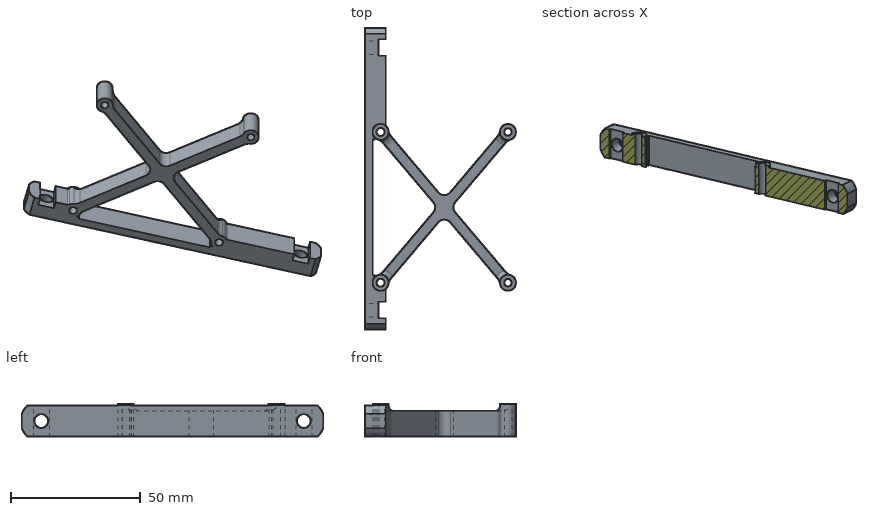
import cadquery as cq
import math

BAR_LENGTH = 116.0
BAR_DEPTH = 8.0
BAR_HEIGHT = 12.0
BAR_HOLE_DIAMETER = 5.2
BAR_HOLE_SPACING = 101.0
BAR_END_RADIUS = 8.0
NOTCH_DEPTH = 2.8
NOTCH_WIDTH = 6.2
RELIEF_WALL = 3.0
RELIEF_END_GAP = 2.95
RELIEF_STEP = 0.7
BAR_BOSS_FILLET = 1.0

BOSS_DIAMETER = 6.2
BOSS_HEIGHT = 12.6
NEAR_HOLE_DIAMETER = 3.0
FAR_HOLE_DIAMETER = 2.75
BOSS_PITCH_X = 49.0
BOSS_PITCH_Y = 58.0
NEAR_BOSS_X = 6.0
PATTERN_CENTER_Y = -11.0

ARM_WIDTH = 4.0
ARM_HEIGHT = 10.0
CROSS_FILLET = 3.0
BOSS_SIDE_FILLET = 4.0
BOSS_TOP_FILLET = 2.0

CROSS_X = NEAR_BOSS_X + BOSS_PITCH_X / 2
ARM_LENGTH = math.hypot(BOSS_PITCH_X, BOSS_PITCH_Y)
ARM_ANGLE = math.degrees(math.atan2(BOSS_PITCH_Y, BOSS_PITCH_X))
BOSS_RADIUS = BOSS_DIAMETER / 2
LOWER_BOSS_Y = PATTERN_CENTER_Y - BOSS_PITCH_Y / 2
UPPER_BOSS_Y = PATTERN_CENTER_Y + BOSS_PITCH_Y / 2
FAR_BOSS_X = NEAR_BOSS_X + BOSS_PITCH_X
NEAR_BOSSES = [(NEAR_BOSS_X, LOWER_BOSS_Y), (NEAR_BOSS_X, UPPER_BOSS_Y)]
FAR_BOSSES = [(FAR_BOSS_X, LOWER_BOSS_Y), (FAR_BOSS_X, UPPER_BOSS_Y)]
BOSSES = NEAR_BOSSES + FAR_BOSSES


def block(x_range, y_range, height):
    """Box standing on Z = 0 between the given X and Y limits."""
    x_start, x_end = x_range
    y_start, y_end = y_range
    body = cq.Workplane("XY").box(x_end - x_start, y_end - y_start, height, centered=False)
    return body.translate((x_start, y_start, 0))


def cylinders(points, diameter, height):
    return cq.Workplane("XY").pushPoints(points).circle(diameter / 2).extrude(height)


def bar():
    hole_y = BAR_HOLE_SPACING / 2
    half_length = BAR_LENGTH / 2
    half_height = BAR_HEIGHT / 2
    hole_points = [(-hole_y, half_height), (hole_y, half_height)]

    body = block((0, BAR_DEPTH), (-half_length, half_length), BAR_HEIGHT)
    rounded_ends = cq.Workplane("YZ").pushPoints(hole_points).circle(BAR_END_RADIUS).extrude(BAR_DEPTH)
    middle = block((0, BAR_DEPTH), (-hole_y, hole_y), BAR_HEIGHT)
    body = body.intersect(rounded_ends.union(middle))

    holes = cq.Workplane("YZ").pushPoints(hole_points).circle(BAR_HOLE_DIAMETER / 2).extrude(BAR_DEPTH)
    body = body.cut(holes)
    for y, _ in hole_points:
        notch_y = (y - NOTCH_WIDTH / 2, y + NOTCH_WIDTH / 2)
        body = body.cut(block((BAR_DEPTH - NOTCH_DEPTH, BAR_DEPTH), notch_y, BAR_HEIGHT))

    relief_y = (LOWER_BOSS_Y + RELIEF_END_GAP, UPPER_BOSS_Y - RELIEF_END_GAP)
    body = body.cut(block((RELIEF_WALL, BAR_DEPTH), relief_y, BAR_HEIGHT))
    boss_gap_x = (RELIEF_WALL + RELIEF_STEP, BAR_DEPTH)
    return body.cut(block(boss_gap_x, (LOWER_BOSS_Y, UPPER_BOSS_Y), BAR_HEIGHT))


def bar_boss_fillets():
    """Concave webs blending the bar's inner face into the outer side of each near boss."""
    boss_to_face = BAR_DEPTH - NEAR_BOSS_X
    center_distance = BOSS_RADIUS + BAR_BOSS_FILLET
    center_x = boss_to_face + BAR_BOSS_FILLET
    center_y = math.sqrt(center_distance**2 - center_x**2)
    touch_scale = BOSS_RADIUS / center_distance
    web = (
        cq.Workplane("XY")
        .moveTo(0, 0)
        .lineTo(0, center_y)
        .lineTo(boss_to_face, center_y)
        .radiusArc((center_x * touch_scale, center_y * touch_scale), -BAR_BOSS_FILLET)
        .close()
        .extrude(BAR_HEIGHT)
    )
    upper_web = web.translate((NEAR_BOSS_X, UPPER_BOSS_Y, 0))
    lower_web = web.mirror("XZ").translate((NEAR_BOSS_X, LOWER_BOSS_Y, 0))
    return upper_web.union(lower_web)


def arms():
    """Crossed arms with a boss foot at each end, blended at the crossing and at the feet."""
    cross = None
    for angle in (ARM_ANGLE, -ARM_ANGLE):
        arm = (
            cq.Workplane("XY")
            .box(ARM_LENGTH, ARM_WIDTH, ARM_HEIGHT, centered=(True, True, False))
            .rotate((0, 0, 0), (0, 0, 1), angle)
            .translate((CROSS_X, PATTERN_CENTER_Y, 0))
        )
        cross = arm if cross is None else cross.union(arm)
    crossing_zone = cq.selectors.BoxSelector(
        (CROSS_X - ARM_WIDTH, PATTERN_CENTER_Y - ARM_WIDTH, 0),
        (CROSS_X + ARM_WIDTH, PATTERN_CENTER_Y + ARM_WIDTH, ARM_HEIGHT),
    )
    cross = cross.edges("|Z").edges(crossing_zone).fillet(CROSS_FILLET)

    cross = cross.union(cylinders(BOSSES, BOSS_DIAMETER, ARM_HEIGHT))
    corner_reach = ARM_WIDTH / 2
    foot_offset = math.sqrt(BOSS_RADIUS**2 - (ARM_WIDTH / 2) ** 2)
    for x, y in BOSSES:
        toward_x = math.copysign(math.cos(math.radians(ARM_ANGLE)), CROSS_X - x)
        toward_y = math.copysign(math.sin(math.radians(ARM_ANGLE)), PATTERN_CENTER_Y - y)
        joint_x = x + foot_offset * toward_x
        joint_y = y + foot_offset * toward_y
        joint_zone = cq.selectors.BoxSelector(
            (joint_x - corner_reach, joint_y - corner_reach, 0),
            (joint_x + corner_reach, joint_y + corner_reach, ARM_HEIGHT),
        )
        cross = cross.edges("|Z").edges(joint_zone).fillet(BOSS_SIDE_FILLET)
    return cross


def boss_top_fillets(arm_plan):
    """Concave rings easing each boss down to the arm tops, kept only above the arms."""
    outer_radius = BOSS_RADIUS + BOSS_TOP_FILLET
    fillet_top = ARM_HEIGHT + BOSS_TOP_FILLET
    arc_drop = BOSS_TOP_FILLET * math.sqrt(0.5)
    ring = (
        cq.Workplane("XZ")
        .moveTo(0, ARM_HEIGHT)
        .lineTo(outer_radius, ARM_HEIGHT)
        .threePointArc((outer_radius - arc_drop, fillet_top - arc_drop), (BOSS_RADIUS, fillet_top))
        .lineTo(0, fillet_top)
        .close()
        .revolve(360, (0, 0, 0), (0, 1, 0))
    )
    rings = cq.Workplane("XY")
    for x, y in BOSSES:
        rings = rings.add(ring.translate((x, y, 0)))
    return rings.combine().intersect(arm_plan.translate((0, 0, ARM_HEIGHT)))


arm_frame = arms()
result = bar().union(bar_boss_fillets()).union(arm_frame).union(boss_top_fillets(arm_frame))
result = result.union(cylinders(BOSSES, BOSS_DIAMETER, BOSS_HEIGHT))
result = result.cut(cylinders(NEAR_BOSSES, NEAR_HOLE_DIAMETER, BOSS_HEIGHT))
result = result.cut(cylinders(FAR_BOSSES, FAR_HOLE_DIAMETER, BOSS_HEIGHT))